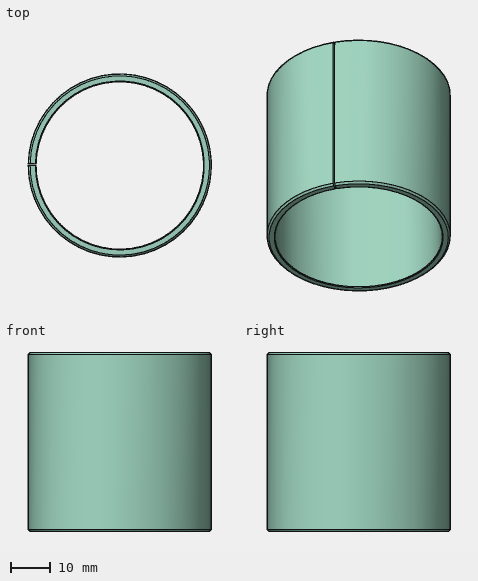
import cadquery as cq

outer_diameter = 46.0
wall_thickness = 2.0
length = 45.0
outer_chamfer = 0.5
inner_chamfer = 0.2

full_turn = 360.0
split_angle = 1.0
start_angle = 180.0

outer_radius = outer_diameter / 2
inner_radius = outer_radius - wall_thickness
half_length = length / 2


def wall_section():
    """Wall cross-section in the XZ plane, chamfered at all four corners."""
    outer_face_radius = outer_radius - outer_chamfer
    inner_face_radius = inner_radius + inner_chamfer
    outer_wall_end = half_length - outer_chamfer
    inner_wall_end = half_length - inner_chamfer
    return (
        cq.Workplane("XZ")
        .moveTo(outer_radius, -outer_wall_end)
        .lineTo(outer_radius, outer_wall_end)
        .lineTo(outer_face_radius, half_length)
        .lineTo(inner_face_radius, half_length)
        .lineTo(inner_radius, inner_wall_end)
        .lineTo(inner_radius, -inner_wall_end)
        .lineTo(inner_face_radius, -half_length)
        .lineTo(outer_face_radius, -half_length)
        .close()
    )


def make_split_bush():
    """Revolve the wall just short of a full turn, leaving the joint open at -X."""
    axis_start = (0, 0, 0)
    axis_end = (0, 1, 0)
    bush = wall_section().revolve(full_turn - split_angle, axis_start, axis_end)
    return bush.rotate((0, 0, 0), (0, 0, 1), start_angle)


result = make_split_bush()